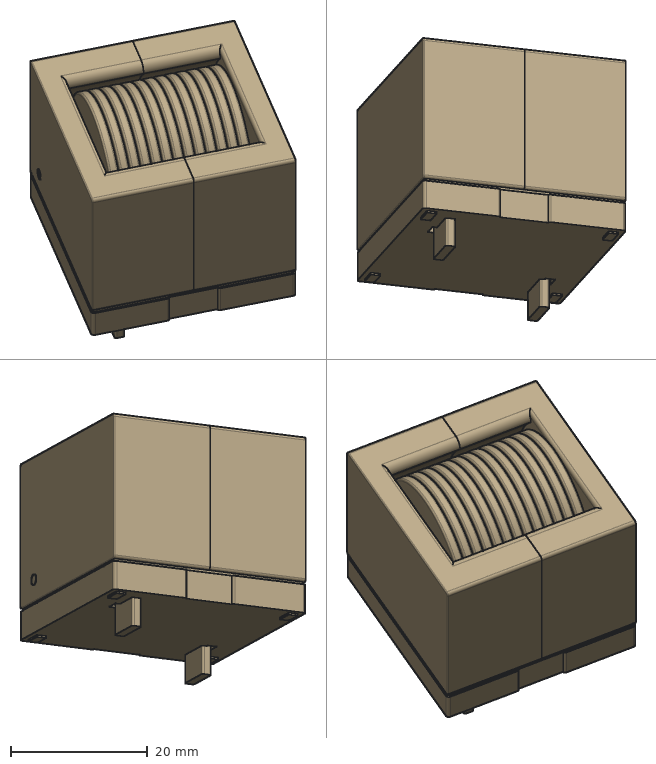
import cadquery as cq

LENGTH_X = 32.0
LENGTH_Y = 31.2
TOTAL_HEIGHT = 33.0

BASE_BOTTOM = 4.3
BASE_TOP = 8.6
CORE_BOTTOM = 9.0
CORE_TOP = 31.02

COIL_RADIUS = 13.0
WIRE_WIDTH = 6.05
WIRE_THICKNESS = 1.52
WIRE_ROUND = 0.3
COIL_TURNS = 12.5
LEAD_Y = 10.43
COIL_Z = TOTAL_HEIGHT - COIL_RADIUS
WIRE_MID_RADIUS = COIL_RADIUS - WIRE_WIDTH / 2
COIL_SPAN = 2 * LEAD_Y
JOINT_TOLERANCE = 0.003

POST_DIAMETER = 13.5
CAVITY_RADIUS = 13.75
CAVITY_LENGTH = 23.35
WINDOW_WIDTH = 20.0
WINDOW_SIDE_ROUND = 1.4
WINDOW_END_ROUND = 0.63
CORE_SIDE_ROUND = 0.5
CORE_END_ROUND = 0.15
DOT_DIAMETER = 1.62
DOT_DEPTH = 0.1
DOT_X = -11.35
DOT_Z = 12.4

CORNER_ROUND = 0.5
SIDE_RECESS_WIDTH = 7.4
SIDE_RECESS_DEPTH = 0.33
SIDE_RECESS_ROUND = 0.3
PAD_LENGTH_X = 3.0
PAD_LENGTH_Y = 1.5
PAD_HEIGHT = 0.3
PAD_X = 13.53
PAD_Y = 13.95
SPACER_INSET = 0.25
SPACER_ROUND = 0.4

TROUGH_LENGTH = 20.8
RELIEF_INNER_X = 6.6
RELIEF_OUTER_X = 8.78
RELIEF_OUTER_Y = 11.88


def box_between(x_range, y_range, z_range):
    """Axis-aligned box given by its limits along X, Y and Z."""
    sizes = [high - low for low, high in (x_range, y_range, z_range)]
    corner = (x_range[0], y_range[0], z_range[0])
    return cq.Workplane("XY").box(*sizes, centered=False).translate(corner)


def cylinder_along_y(radius, length):
    """Cylinder on the coil axis, centred on the plane Y = 0."""
    return (
        cq.Workplane("XZ", origin=(0, 0, COIL_Z))
        .circle(radius)
        .extrude(length / 2, both=True)
    )


def flared_profile(plane, width, floor, mouth, flare_round):
    """Slot outline from floor to mouth, its straight sides flaring outwards in quarter rounds."""
    half = width / 2
    outer_half = half + flare_round
    sag = flare_round * (1 - 0.5 ** 0.5)
    return (
        plane.moveTo(-half, floor)
        .lineTo(half, floor)
        .lineTo(half, mouth - flare_round)
        .threePointArc((half + sag, mouth - sag), (outer_half, mouth))
        .lineTo(-outer_half, mouth)
        .threePointArc((-half - sag, mouth - sag), (-half, mouth - flare_round))
        .close()
    )


def make_core_window():
    """Top opening whose four rounded lips meet in mitres."""
    side_profile = flared_profile(cq.Workplane("XZ"), WINDOW_WIDTH, COIL_Z, CORE_TOP, WINDOW_SIDE_ROUND)
    end_profile = flared_profile(cq.Workplane("YZ"), CAVITY_LENGTH, COIL_Z, CORE_TOP, WINDOW_END_ROUND)
    between_sides = side_profile.extrude(LENGTH_Y / 2, both=True)
    between_ends = end_profile.extrude(LENGTH_X / 2, both=True)
    return between_sides.intersect(between_ends)


def make_core_cavity():
    """Round coil chamber, open straight down to the bottom, around the centre post."""
    lower_opening = box_between(
        (-CAVITY_RADIUS, CAVITY_RADIUS),
        (-CAVITY_LENGTH / 2, CAVITY_LENGTH / 2),
        (CORE_BOTTOM, COIL_Z),
    )
    return (
        cylinder_along_y(CAVITY_RADIUS, CAVITY_LENGTH)
        .union(lower_opening)
        .union(make_core_window())
        .cut(cylinder_along_y(POST_DIAMETER / 2, LENGTH_Y))
    )


def make_core_half(side):
    """Core half on the -Y side (side = -1) or the +Y side (side = +1)."""
    end_y = side * LENGTH_Y / 2
    block = box_between(
        (-LENGTH_X / 2, LENGTH_X / 2),
        (min(0, end_y), max(0, end_y)),
        (CORE_BOTTOM, CORE_TOP),
    )
    end_face = ">Y" if side > 0 else "<Y"
    rounded = block.edges("|Y").fillet(CORE_SIDE_ROUND).faces(end_face).edges().fillet(CORE_END_ROUND)
    return rounded.cut(make_core_cavity())


def make_marker_dot():
    """Shallow round orientation mark in the -Y face."""
    return (
        cq.Workplane("XZ", origin=(DOT_X, -LENGTH_Y / 2, DOT_Z))
        .circle(DOT_DIAMETER / 2)
        .extrude(-DOT_DEPTH)
    )


def make_winding():
    """Helical flat wire from the -X side at +Y to the +X side at -Y."""
    path = cq.Wire.makeHelix(COIL_SPAN / COIL_TURNS, COIL_SPAN, WIRE_MID_RADIUS, lefthand=True)
    winding = (
        cq.Workplane("XZ")
        .center(WIRE_MID_RADIUS, 0)
        .sketch()
        .rect(WIRE_WIDTH, WIRE_THICKNESS)
        .vertices()
        .fillet(WIRE_ROUND)
        .finalize()
        .sweep(cq.Workplane(path), isFrenet=True)
    )
    coil_plane = cq.Plane(origin=(0, LEAD_Y, COIL_Z), xDir=(-1, 0, 0), normal=(0, -1, 0))
    return cq.Workplane(winding.val().moved(coil_plane.location))


def make_lead(side):
    """Straight wire end running down at X = side * WIRE_MID_RADIUS."""
    return (
        cq.Workplane("XY", origin=(side * WIRE_MID_RADIUS, -side * LEAD_Y, 0))
        .rect(WIRE_WIDTH, WIRE_THICKNESS)
        .extrude(COIL_Z)
        .edges("|Z")
        .fillet(WIRE_ROUND)
    )


def is_joint_face(face):
    """True for the flat wire sections where the winding meets a lead."""
    return face.geomType() == "PLANE" and abs(face.Center().z - COIL_Z) < JOINT_TOLERANCE


def make_coil():
    """Winding and both leads, sewn into one solid along their shared wire sections."""
    pieces = [make_winding(), make_lead(-1), make_lead(1)]
    skin = [face for piece in pieces for face in piece.faces().vals() if not is_joint_face(face)]
    return cq.Workplane(cq.Solid.makeSolid(cq.Shell.makeShell(skin)))


def make_coil_clearance():
    """Trough under the winding and snug passages for both leads, each with a relief beside it."""
    trough = cylinder_along_y(CAVITY_RADIUS, TROUGH_LENGTH)
    openings = trough.union(make_lead(-1)).union(make_lead(1))
    relief = box_between(
        (RELIEF_INNER_X, RELIEF_OUTER_X),
        (-RELIEF_OUTER_Y, -LEAD_Y),
        (BASE_BOTTOM, CORE_BOTTOM),
    )
    half_turn = relief.rotate((0, 0, 0), (0, 0, 1), 180)
    return openings.union(relief).union(half_turn)


def make_side_recess():
    """Shallow recess with rounded lips in the middle of the +X side of the base."""
    side_plane = cq.Workplane(cq.Plane(origin=(0, 0, BASE_BOTTOM), xDir=(0, -1, 0), normal=(0, 0, 1)))
    mouth = LENGTH_X / 2
    floor = mouth - SIDE_RECESS_DEPTH
    profile = flared_profile(side_plane, SIDE_RECESS_WIDTH, floor, mouth, SIDE_RECESS_ROUND)
    return profile.extrude(BASE_TOP - BASE_BOTTOM)


def make_base():
    block = box_between(
        (-LENGTH_X / 2, LENGTH_X / 2),
        (-LENGTH_Y / 2, LENGTH_Y / 2),
        (BASE_BOTTOM, BASE_TOP),
    )
    recess = make_side_recess()
    opposite_recess = recess.rotate((0, 0, 0), (0, 0, 1), 180)
    body = block.edges("|Z").fillet(CORNER_ROUND).cut(recess).cut(opposite_recess)
    pads = (
        cq.Workplane("XY", origin=(0, 0, BASE_BOTTOM))
        .rect(2 * PAD_X, 2 * PAD_Y, forConstruction=True)
        .vertices()
        .rect(PAD_LENGTH_X, PAD_LENGTH_Y)
        .extrude(-PAD_HEIGHT)
    )
    return body.union(pads).cut(make_coil_clearance())


def make_spacer():
    """Thin plate between the base and the core, open around the coil."""
    return (
        cq.Workplane("XY", origin=(0, 0, BASE_TOP))
        .rect(LENGTH_X - 2 * SPACER_INSET, LENGTH_Y - 2 * SPACER_INSET)
        .extrude(CORE_BOTTOM - BASE_TOP)
        .edges("|Z")
        .fillet(SPACER_ROUND)
        .cut(make_coil_clearance())
    )


front_core = make_core_half(-1).cut(make_marker_dot())
back_core = make_core_half(1)
coil = make_coil()
base = make_base()
spacer = make_spacer()

result = cq.Compound.makeCompound(
    [body.solids().val() for body in (front_core, back_core, coil, base, spacer)]
)